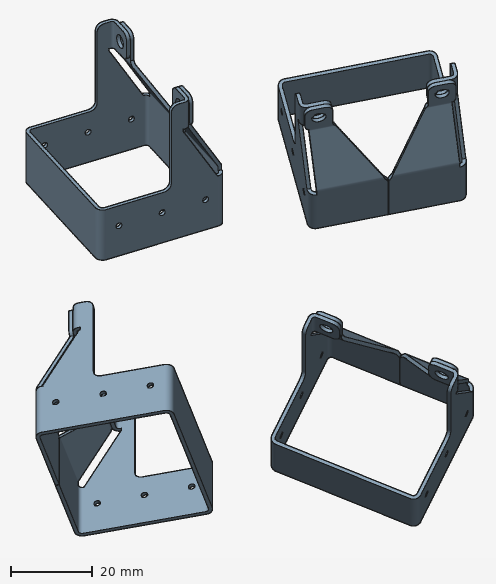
import cadquery as cq
import math

WIDTH = 40.0
DEPTH = 35.0
HEIGHT = 40.0
SHEET = 1.0

BAND_HEIGHT = 15.0
CORNER_RADIUS = 2.0
SLIT_WIDTH = 0.2

LEG_FRONT = 15.0
ROUNDING = 2.0
SLOPE_START = 2.15
SLOPE_ANGLE = 30.0
RELIEF_FRONT = 11.7
SIDE_HOLE_DIAMETER = 1.6
SIDE_HOLE_SPACING = 12.0
SIDE_HOLE_HEIGHT = 9.0

BEND_INNER = 0.75
BEND_OUTER = BEND_INNER + SHEET
TAB_WIDTH = 7.0
TAB_HEIGHT = 8.0
TAB_HOLE_DIAMETER = 3.5
TAB_GAP = 0.02
FLAP_BEND_START = 1.0
FLAP_OFFSET = 8.5

BACK = DEPTH / 2
INNER_SIDE = WIDTH / 2 - SHEET
TAB_INNER_X = INNER_SIDE - TAB_WIDTH
TAB_CENTRE_X = INNER_SIDE - TAB_WIDTH / 2
TAB_BOTTOM = HEIGHT - TAB_HEIGHT
FLAP_OUTER_X = WIDTH / 2 - CORNER_RADIUS
FLAP_TAB_BACK = BACK - FLAP_OFFSET
LEG_TAB_BACK = FLAP_TAB_BACK - SHEET - TAB_GAP

SLOPE_SIN = math.sin(math.radians(SLOPE_ANGLE))
SLOPE_COS = math.cos(math.radians(SLOPE_ANGLE))
SLOPE_TAN = SLOPE_SIN / SLOPE_COS

RAMP_DEPTH = FLAP_OFFSET - (BEND_INNER + BEND_OUTER) * (1 - SLOPE_COS)
RAMP_LENGTH = RAMP_DEPTH / SLOPE_SIN
LOWER_BEND_Z = BAND_HEIGHT + FLAP_BEND_START
UPPER_BEND_Z = LOWER_BEND_Z + (BEND_INNER + BEND_OUTER) * SLOPE_SIN + RAMP_LENGTH * SLOPE_COS
BEND_LENGTH = math.radians(SLOPE_ANGLE) * (BEND_INNER + BEND_OUTER) / 2
FLAP_LENGTH = FLAP_BEND_START + 2 * BEND_LENGTH + RAMP_LENGTH + TAB_BOTTOM - UPPER_BEND_Z


def flap_inner_x(length):
    """Inner edge of the flap, straight along the unfolded sheet."""
    start = SLIT_WIDTH / 2
    return start + (TAB_INNER_X - start) * length / FLAP_LENGTH


def make_band():
    outer = cq.Workplane("XY").rect(WIDTH, DEPTH).extrude(BAND_HEIGHT)
    outer = outer.edges("|Z").fillet(CORNER_RADIUS)
    inner = cq.Workplane("XY").rect(WIDTH - 2 * SHEET, DEPTH - 2 * SHEET).extrude(BAND_HEIGHT)
    inner = inner.edges("|Z").fillet(CORNER_RADIUS - SHEET)
    slit = (
        cq.Workplane("XY", origin=(0, BACK - SHEET / 2, 0))
        .rect(SLIT_WIDTH, 2 * SHEET)
        .extrude(BAND_HEIGHT)
    )
    return outer.cut(inner).cut(slit)


def make_leg():
    """Upright part of the right side wall, with its bent-in front tab."""
    leg_y = BACK - LEG_FRONT
    slope_y = BACK - SLOPE_START
    relief_y = BACK - RELIEF_FRONT
    bend_y = LEG_TAB_BACK - BEND_OUTER
    slope_top_z = BAND_HEIGHT + (slope_y - relief_y) / SLOPE_TAN
    wall = (
        cq.Workplane("YZ", origin=(INNER_SIDE, 0, 0))
        .moveTo(slope_y, BAND_HEIGHT)
        .lineTo(relief_y, slope_top_z)
        .lineTo(relief_y, TAB_BOTTOM)
        .lineTo(bend_y, TAB_BOTTOM)
        .lineTo(bend_y, HEIGHT)
        .lineTo(leg_y + ROUNDING, HEIGHT)
        .radiusArc((leg_y, HEIGHT - ROUNDING), -ROUNDING)
        .lineTo(leg_y, BAND_HEIGHT + ROUNDING)
        .radiusArc((leg_y - ROUNDING, BAND_HEIGHT), ROUNDING)
        .close()
        .extrude(SHEET)
    )
    bend_x = WIDTH / 2 - BEND_OUTER
    bend = (
        cq.Workplane("XY", origin=(0, 0, TAB_BOTTOM))
        .moveTo(bend_x, LEG_TAB_BACK)
        .radiusArc((WIDTH / 2, bend_y), BEND_OUTER)
        .lineTo(INNER_SIDE, bend_y)
        .radiusArc((bend_x, LEG_TAB_BACK - SHEET), -BEND_INNER)
        .close()
        .extrude(TAB_HEIGHT)
    )
    tab = (
        cq.Workplane("XZ", origin=(0, LEG_TAB_BACK, 0))
        .moveTo((TAB_INNER_X + bend_x) / 2, HEIGHT - TAB_HEIGHT / 2)
        .rect(bend_x - TAB_INNER_X, TAB_HEIGHT)
        .extrude(SHEET)
        .edges("|Y and <X")
        .fillet(ROUNDING)
    )
    return wall.union(bend).union(tab)


def make_flap_strip(start_y, start_z, tilt, start_length, strip_length):
    """Flat stretch of the flap; start_y and start_z lie on its back face."""
    direction_y = -math.sin(math.radians(tilt))
    direction_z = math.cos(math.radians(tilt))
    plane = cq.Plane(
        origin=(0, start_y, start_z),
        xDir=(1, 0, 0),
        normal=(0, -direction_z, direction_y),
    )
    return (
        cq.Workplane(plane)
        .moveTo(flap_inner_x(start_length), 0)
        .lineTo(FLAP_OUTER_X, 0)
        .lineTo(FLAP_OUTER_X, strip_length)
        .lineTo(flap_inner_x(start_length + strip_length), strip_length)
        .close()
        .extrude(SHEET)
    )


def make_flap_bend(axis_y, axis_z, side, start_length):
    """Bend about an X axis at (axis_y, axis_z), sweeping from angle 0 to the slope angle.

    side is +1 where the sheet lies behind the axis and -1 where it lies in front.
    """
    turn_end = math.radians(SLOPE_ANGLE)

    def point(radius, turn):
        y = axis_y + side * radius * math.cos(turn)
        z = axis_z + side * radius * math.sin(turn)
        return y, z

    sector = (
        cq.Workplane("YZ")
        .moveTo(*point(BEND_INNER, 0))
        .lineTo(*point(BEND_OUTER, 0))
        .threePointArc(point(BEND_OUTER, turn_end / 2), point(BEND_OUTER, turn_end))
        .lineTo(*point(BEND_INNER, turn_end))
        .threePointArc(point(BEND_INNER, turn_end / 2), point(BEND_INNER, 0))
        .close()
        .extrude(FLAP_OUTER_X)
    )

    def trim_outline(turn, length):
        """Rectangle across the sheet, from the flap's inner edge to its outer edge."""
        near = point(BEND_INNER / 2, turn)
        far = point(BEND_OUTER + SHEET, turn)
        inner_x = flap_inner_x(length)
        corners = [
            cq.Vector(inner_x, *near),
            cq.Vector(inner_x, *far),
            cq.Vector(FLAP_OUTER_X, *far),
            cq.Vector(FLAP_OUTER_X, *near),
        ]
        return cq.Wire.makePolygon(corners, close=True)

    start = trim_outline(0, start_length)
    end = trim_outline(turn_end, start_length + side * BEND_LENGTH)
    return sector.intersect(cq.Workplane(cq.Solid.makeLoft([start, end], True)))


def make_flap_tab():
    """Tab at the top of the flap, just behind the leg's tab."""
    top_rounding_z = HEIGHT - ROUNDING
    outer_rounding_x = INNER_SIDE - ROUNDING
    corner_x = FLAP_OUTER_X - outer_rounding_x
    corner_z = UPPER_BEND_Z + math.sqrt(ROUNDING**2 - corner_x**2)
    bend_end_length = FLAP_LENGTH - (TAB_BOTTOM - UPPER_BEND_Z)
    return (
        cq.Workplane("XZ", origin=(0, FLAP_TAB_BACK, 0))
        .moveTo(flap_inner_x(bend_end_length), UPPER_BEND_Z)
        .lineTo(FLAP_OUTER_X, UPPER_BEND_Z)
        .radiusArc((INNER_SIDE, corner_z), -ROUNDING)
        .lineTo(INNER_SIDE, top_rounding_z)
        .radiusArc((outer_rounding_x, HEIGHT), -ROUNDING)
        .lineTo(TAB_INNER_X + ROUNDING, HEIGHT)
        .radiusArc((TAB_INNER_X, top_rounding_z), -ROUNDING)
        .lineTo(TAB_INNER_X, TAB_BOTTOM)
        .close()
        .extrude(SHEET)
    )


def make_flap():
    """Sloping flap on the right half of the back, rising from the band to its tab."""
    ramp_y = BACK - BEND_OUTER * (1 - SLOPE_COS)
    ramp_z = LOWER_BEND_Z + BEND_OUTER * SLOPE_SIN
    ramp_start = FLAP_BEND_START + BEND_LENGTH
    ramp_end = ramp_start + RAMP_LENGTH

    upright = make_flap_strip(BACK, BAND_HEIGHT, 0, 0, FLAP_BEND_START)
    lower_bend = make_flap_bend(BACK - BEND_OUTER, LOWER_BEND_Z, 1, FLAP_BEND_START)
    ramp = make_flap_strip(ramp_y, ramp_z, SLOPE_ANGLE, ramp_start, RAMP_LENGTH)
    upper_axis_y = FLAP_TAB_BACK + BEND_INNER
    upper_bend = make_flap_bend(upper_axis_y, UPPER_BEND_Z, -1, ramp_end + BEND_LENGTH)
    return upright.union(lower_bend).union(ramp).union(upper_bend).union(make_flap_tab())


def make_side_holes():
    """Row of holes through both side walls."""
    return (
        cq.Workplane("YZ", origin=(-WIDTH / 2, 0, SIDE_HOLE_HEIGHT))
        .rarray(SIDE_HOLE_SPACING, 0.4, 3, 1)
        .circle(SIDE_HOLE_DIAMETER / 2)
        .extrude(WIDTH)
    )


def make_tab_hole():
    return (
        cq.Workplane("XZ", origin=(0, FLAP_TAB_BACK, 0))
        .moveTo(TAB_CENTRE_X, HEIGHT - TAB_HEIGHT / 2)
        .circle(TAB_HOLE_DIAMETER / 2)
        .extrude(2 * SHEET + TAB_GAP)
    )


right_half = make_leg().union(make_flap()).cut(make_tab_hole())
left_half = right_half.mirror("YZ")
result = make_band().union(right_half).union(left_half).cut(make_side_holes())